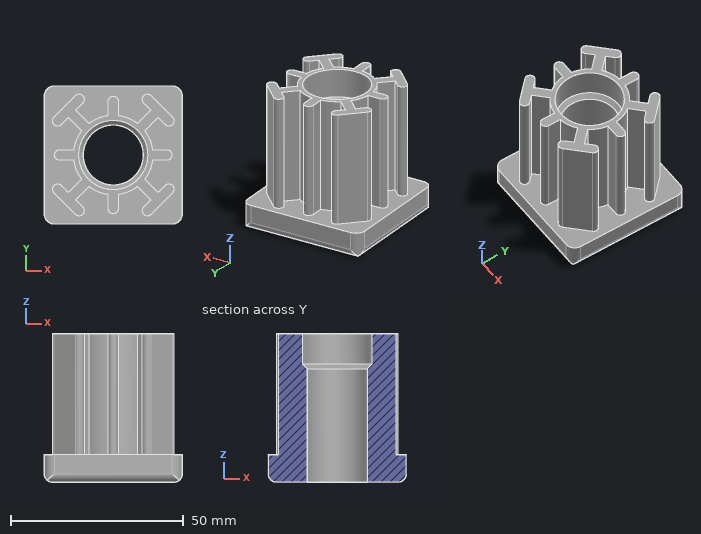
import cadquery as cq

base_side = 40.0
total_height = 43.0
base_height = 8.0
corner_radius = 3.0
bottom_radius = 2.5

tube_diameter = 23.0
upper_bore_diameter = 20.0
lower_bore_diameter = 17.3
upper_bore_depth = 8.8
bore_cone_height = (upper_bore_diameter - lower_bore_diameter) / 2

rib_width = 3.0
straight_rib_reach = 17.0
crossbar_reach = 19.85
crossbar_length = 11.8

column_height = total_height - base_height


def make_base():
    """Square plate with rounded bottom edges, trimmed by round vertical corners."""
    block = cq.Workplane("XY").box(base_side, base_side, base_height, centered=(True, True, False))
    block = block.faces("<Z").edges().fillet(bottom_radius)
    corner_trim = (
        cq.Workplane("XY")
        .rect(base_side, base_side)
        .extrude(base_height)
        .edges("|Z")
        .fillet(corner_radius)
    )
    return block.intersect(corner_trim)


def column_sketch():
    return cq.Workplane("XY").workplane(offset=base_height)


def make_web(reach):
    """Flat rib running from the axis outward along +X."""
    return column_sketch().center(reach / 2, 0).rect(reach, rib_width).extrude(column_height)


def make_straight_rib():
    tip_center = straight_rib_reach - rib_width / 2
    tip = column_sketch().center(tip_center, 0).circle(rib_width / 2).extrude(column_height)
    return make_web(tip_center).union(tip)


def make_t_rib():
    bar_center = crossbar_reach - rib_width / 2
    crossbar = (
        column_sketch()
        .center(bar_center, 0)
        .slot2D(crossbar_length, rib_width, 90)
        .extrude(column_height)
    )
    return make_web(bar_center).union(crossbar)


def make_bore():
    """Through hole widened from the top, with a conical seat between diameters."""
    upper_radius = upper_bore_diameter / 2
    lower_radius = lower_bore_diameter / 2
    cone_top = total_height - upper_bore_depth
    return (
        cq.Workplane("XZ")
        .polyline([
            (0, 0),
            (lower_radius, 0),
            (lower_radius, cone_top - bore_cone_height),
            (upper_radius, cone_top),
            (upper_radius, total_height),
            (0, total_height),
        ])
        .close()
        .revolve(360, (0, 0, 0), (0, 1, 0))
    )


tube = column_sketch().circle(tube_diameter / 2).extrude(column_height)
result = make_base().union(tube)

for angle in (0, 90, 180, 270):
    straight_rib = make_straight_rib().rotate((0, 0, 0), (0, 0, 1), angle)
    t_rib = make_t_rib().rotate((0, 0, 0), (0, 0, 1), angle + 45)
    result = result.union(straight_rib).union(t_rib)

result = result.cut(make_bore())